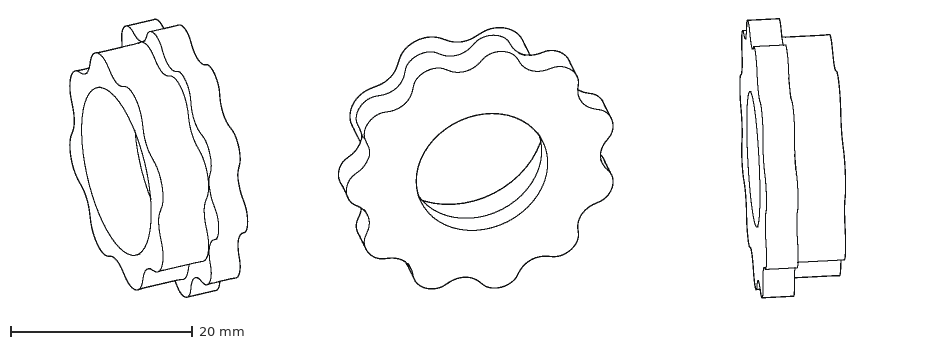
import cadquery as cq
import math

pin_radius = 2.5
eccentricity = 0.98
large_lobes = 11
large_pin_circle_radius = 17.0
small_lobes = 8
small_pin_circle_radius = 15.0

total_thickness = 9.0
large_thickness = 3.5
small_thickness = total_thickness - large_thickness
counterbore_diameter = 19.0
bore_diameter = 15.0
counterbore_depth = 6.4

points_per_lobe = 16


def cycloid_point(angle, lobes, pin_circle_radius):
    """Point on the curve running one pin radius inside the pin-centre trochoid."""
    ripple_angle = (lobes + 1) * angle
    ripple_speed = eccentricity * (lobes + 1)
    x = pin_circle_radius * math.cos(angle) - eccentricity * math.cos(ripple_angle)
    z = pin_circle_radius * math.sin(angle) - eccentricity * math.sin(ripple_angle)
    tangent_x = -pin_circle_radius * math.sin(angle) + ripple_speed * math.sin(ripple_angle)
    tangent_z = pin_circle_radius * math.cos(angle) - ripple_speed * math.cos(ripple_angle)
    speed = math.hypot(tangent_x, tangent_z)
    return x - pin_radius * tangent_z / speed, z + pin_radius * tangent_x / speed


def cycloidal_disc(lobes, pin_circle_radius, front_y, thickness, first_valley_angle):
    """Lobed disc around the Y axis, reaching from front_y toward +Y."""
    count = lobes * points_per_lobe
    outline = [
        cycloid_point(2 * math.pi * i / count, lobes, pin_circle_radius) for i in range(count)
    ]
    return (
        cq.Workplane("XZ")
        .spline(outline, periodic=True)
        .close()
        .extrude(-thickness)
        .rotate((0, 0, 0), (0, 1, 0), -first_valley_angle)
        .translate((0, front_y, 0))
    )


def round_cut(diameter, depth):
    """Cylinder around the Y axis, from the front face toward +Y."""
    return cq.Workplane("XZ").circle(diameter / 2).extrude(-depth)


small_disc = cycloidal_disc(small_lobes, small_pin_circle_radius, 0, small_thickness, 0)
large_disc = cycloidal_disc(
    large_lobes, large_pin_circle_radius, small_thickness, large_thickness, 180 / large_lobes
)

counterbore = round_cut(counterbore_diameter, counterbore_depth)
bore = round_cut(bore_diameter, total_thickness)

result = small_disc.union(large_disc).cut(counterbore).cut(bore)